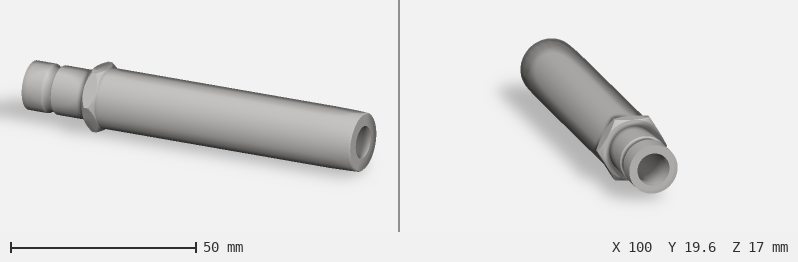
import cadquery as cq
import math

total_length = 100.0
bore_radius = 4.5

spigot_radius = 6.8
groove_start = 5.8
groove_end = 8.8
groove_middle = (groove_start + groove_end) / 2
groove_bottom_radius = 6.2

hex_start = 19.0
hex_length = 4.0
hex_end = hex_start + hex_length
hex_across_flats = 17.0
hex_corner_radius = hex_across_flats / math.sqrt(3)

sleeve_diameter = 16.7
sleeve_radius = sleeve_diameter / 2
tip_start = 91.1
tip_end_radius = 8.1
tip_chamfer = 0.3


def spigot():
    """Round spigot with a groove of circular-arc section."""
    return (
        cq.Workplane("XY")
        .lineTo(0, spigot_radius)
        .lineTo(groove_start, spigot_radius)
        .threePointArc((groove_middle, groove_bottom_radius), (groove_end, spigot_radius))
        .lineTo(hex_start, spigot_radius)
        .lineTo(hex_start, 0)
        .close()
        .revolve(360, (0, 0, 0), (1, 0, 0))
    )


def hex_collar():
    """Hexagon with corners on +Y and -Y, both ends turned to 45 degree cones."""
    hexagon = (
        cq.Workplane("YZ")
        .workplane(offset=hex_start)
        .polygon(6, 2 * hex_corner_radius)
        .extrude(hex_length)
    )
    front_radius = hex_across_flats / 2
    front_chamfer = hex_corner_radius - front_radius
    back_chamfer = hex_corner_radius - sleeve_radius
    turned_envelope = (
        cq.Workplane("XY")
        .moveTo(hex_start, 0)
        .lineTo(hex_start, front_radius)
        .lineTo(hex_start + front_chamfer, hex_corner_radius)
        .lineTo(hex_end - back_chamfer, hex_corner_radius)
        .lineTo(hex_end, sleeve_radius)
        .lineTo(hex_end, 0)
        .close()
        .revolve(360, (0, 0, 0), (1, 0, 0))
    )
    return hexagon.intersect(turned_envelope)


def sleeve():
    """Long cylinder whose tip curves tangentially inward to a small end chamfer."""
    return (
        cq.Workplane("XY")
        .moveTo(hex_end, 0)
        .lineTo(hex_end, sleeve_radius)
        .lineTo(tip_start, sleeve_radius)
        .tangentArcPoint((total_length - tip_chamfer, tip_end_radius), relative=False)
        .lineTo(total_length, tip_end_radius - tip_chamfer)
        .lineTo(total_length, 0)
        .close()
        .revolve(360, (0, 0, 0), (1, 0, 0))
    )


bore = cq.Workplane("YZ").circle(bore_radius).extrude(total_length)
result = spigot().union(hex_collar()).union(sleeve()).cut(bore)